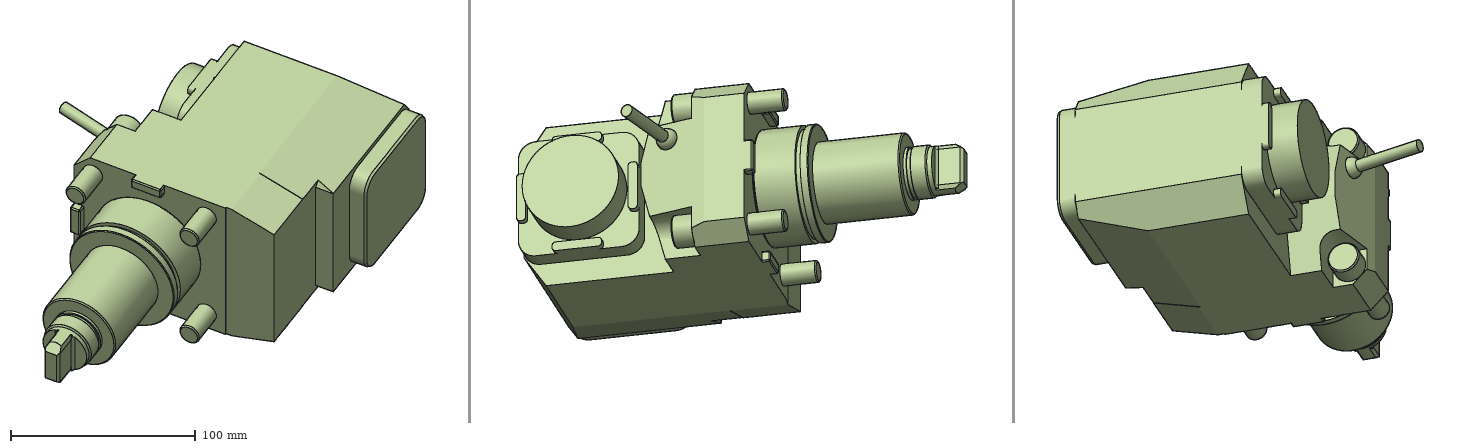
import cadquery as cq
import math


overall_length = 245.8

half_height = 47.0
left_x = -47.0
upper_left_x = -7.9
slope_start_x = 49.7
base_slope_start_x = 50.5
base_height_y = 32.5
lower_right_x = 76.5
right_x = 87.3
back_y = 133.2
side_slope = math.tan(math.radians(15.5))
back_bevel_y = 12.5
back_bevel_z = 18.2
overhang_y = 47.2
overhang_flat_z = 36.5
overhang_bevel_y = 1.2
overhang_bevel_z = 1.4

shoulder_y = 59.7
roof_flat_z = 7.4
taper_angle = 15.0
taper = math.tan(math.radians(taper_angle))
taper_start_y = 21.6
corner_bevel = 10.0

face_pad_x = 46.7
face_pad_depth = 0.7
key_width = 18.5
key_height = 6.1
key_length = 5.5
key_bevel = 0.7

screw_x = 35.1
screw_z = 36.0
pin_diameter = 12.0
pin_length = 21.0
screw_bevel = 0.7
head_diameter = 18.0
head_base_y = 29.5
head_length = 11.8
pocket_radius = 9.5

cover_size = 67.8
cover_radius = 9.8
tool_y = back_y - cover_size / 2
flange_x = -19.7
flange_key_x = -23.5
flange_key_width = 27.8
flange_key_height = 5.2
flange_key_radius = 2.0
nose_x = -37.5
nose_diameter = 54.0
oil_hole_x = -14.0
oil_hole_diameter = 2.1
oil_hole_depth = 2.5
cover_x = 97.8
cover_bevel_x = 1.5
cover_bevel_side = 0.7

collar_diameter = 64.6
groove_diameter = 60.2
shank_diameter = 45.0
drive_diameter = 29.0
neck_diameter = 27.0
relief_end = -1.5
groove_start = -25.3
groove_end = -28.3
collar_end = -32.7
shank_end = -81.4
neck_start = -83.0
neck_end = -85.3
drive_end = -93.6
disc_end = -97.0
tip_end = back_y - overall_length
edge_bevel = 0.7
collar_end_bevel = 0.5
tang_width = 9.3
tang_root_bevel = 1.5
tang_bevel_x = 1.2
tang_tip_bevel_y = 1.7
tang_side_z = 10.5
tip_face_z = 9.8
tip_bevel_y = 5.5

cable_diameter = 7.0
cable_z = 17.0
cable_length = 44.5
cable_root_y = 44.0
gland_diameter = 12.0


def box(x_range, y_range, z_range):
    (x0, x1), (y0, y1), (z0, z1) = x_range, y_range, z_range
    return cq.Workplane("XY").box(x1 - x0, y1 - y0, z1 - z0, centered=False).translate((x0, y0, z0))


def rod(diameter, x, z, y_start, y_end):
    """Cylinder along Y from y_start to a higher y_end."""
    return (
        cq.Workplane("XZ", origin=(x, y_start, z))
        .circle(diameter / 2)
        .extrude(y_start - y_end)
    )


def both_halves(solid):
    """Join a solid with its mirror image across Z = 0."""
    return solid.union(solid.mirror("XY"))


def make_flank(start_x, y_start, y_end):
    """Wedge above the sloping flank between two stations along Y."""
    end_z = half_height - side_slope * (right_x - start_x)
    return (
        cq.Workplane("XZ", origin=(0, y_end, 0))
        .polyline([(start_x, half_height), (right_x, half_height), (right_x, end_z)])
        .close()
        .extrude(y_end - y_start)
    )


def make_housing():
    plan = [
        (left_x, 0),
        (lower_right_x, 0),
        (lower_right_x, overhang_y),
        (right_x, overhang_y),
        (right_x, back_y),
        (upper_left_x, back_y),
        (upper_left_x, shoulder_y),
        (left_x + taper * (shoulder_y - taper_start_y), shoulder_y),
        (left_x, taper_start_y),
    ]
    body = (
        cq.Workplane("XY", origin=(0, 0, -half_height)).polyline(plan).close().extrude(2 * half_height)
    )

    base_flank = make_flank(base_slope_start_x, 0, base_height_y)
    upper_flank = make_flank(slope_start_x, base_height_y, back_y)
    back_bevel = (
        cq.Workplane("YZ", origin=(upper_left_x, 0, 0))
        .polyline([
            (back_y - back_bevel_y, half_height),
            (back_y, half_height),
            (back_y, half_height - back_bevel_z),
        ])
        .close()
        .extrude(right_x - upper_left_x)
    )
    overhang_reach = half_height - overhang_flat_z
    overhang_bevel = (
        cq.Workplane("YZ", origin=(lower_right_x, 0, 0))
        .polyline([
            (overhang_y, overhang_flat_z),
            (overhang_y + overhang_reach * overhang_bevel_y / overhang_bevel_z, half_height),
            (overhang_y, half_height),
        ])
        .close()
        .extrude(right_x - lower_right_x)
    )
    roof_drop = taper * (half_height - roof_flat_z)
    roof = (
        cq.Workplane("YZ", origin=(left_x, 0, 0))
        .polyline([
            (shoulder_y, roof_flat_z),
            (shoulder_y, half_height),
            (shoulder_y - roof_drop, half_height),
        ])
        .close()
        .extrude(upper_left_x - left_x)
    )
    corner = (
        cq.Workplane("XZ")
        .polyline([
            (left_x, half_height - corner_bevel),
            (left_x, half_height),
            (left_x + corner_bevel, half_height),
        ])
        .close()
        .extrude(-shoulder_y)
    )
    pocket = box(
        (left_x, -screw_x + pocket_radius),
        (head_base_y, shoulder_y),
        (screw_z - pocket_radius, half_height),
    )
    pocket = pocket.edges("|Y and >X and <Z").fillet(pocket_radius)
    for cut in (base_flank, upper_flank, back_bevel, overhang_bevel, roof, corner, pocket):
        body = body.cut(both_halves(cut))
    return body


def make_mounting_face():
    pad = (
        box((left_x, face_pad_x), (-face_pad_depth, 0), (-half_height, half_height))
        .edges("|Y and <X")
        .chamfer(corner_bevel)
    )
    top_key = box(
        (-key_width / 2, key_width / 2), (-key_length, 0), (half_height - key_height, half_height)
    )
    top_key = top_key.edges("not >Y").chamfer(key_bevel)
    side_key = top_key.rotate((0, 0, 0), (0, 1, 0), -90)
    return pad.union(both_halves(top_key)).union(side_key)


def make_pin(x):
    pin = rod(pin_diameter, x, screw_z, -pin_length, head_base_y)
    return pin.faces("<Y").chamfer(screw_bevel)


def make_screws():
    """Four pins, with the heads of the left pair standing in open pockets."""
    head = rod(head_diameter, -screw_x, screw_z, head_base_y, head_base_y + head_length)
    head = head.faces(">Y").chamfer(screw_bevel)
    upper_pair = make_pin(-screw_x).union(head).union(make_pin(screw_x))
    return both_halves(upper_pair)


def cover_block(x_start, x_end):
    return (
        cq.Workplane("YZ", origin=(x_start, tool_y, 0))
        .rect(cover_size, cover_size)
        .extrude(x_end - x_start)
        .edges("|X")
        .fillet(cover_radius)
    )


def make_output_flange():
    flange = cover_block(flange_x, upper_left_x)
    oil_hole = (
        cq.Workplane("XY", origin=(oil_hole_x, tool_y, cover_size / 2 - oil_hole_depth))
        .circle(oil_hole_diameter / 2)
        .extrude(oil_hole_depth)
    )
    flange = flange.cut(oil_hole)
    key = box(
        (flange_key_x, flange_x),
        (tool_y - flange_key_width / 2, tool_y + flange_key_width / 2),
        (cover_size / 2 - flange_key_height, cover_size / 2),
    )
    key = key.edges("|X").fillet(flange_key_radius)
    for turn in range(4):
        flange = flange.union(key.rotate((0, tool_y, 0), (1, tool_y, 0), 90 * turn))
    nose = (
        cq.Workplane("YZ", origin=(nose_x, tool_y, 0))
        .circle(nose_diameter / 2)
        .extrude(flange_x - nose_x)
    )
    return flange.union(nose)


def make_rear_cover():
    return cover_block(right_x, cover_x).faces(">X").chamfer(cover_bevel_x, cover_bevel_side)


def make_spindle():
    collar_r = collar_diameter / 2
    groove_r = groove_diameter / 2
    shank_r = shank_diameter / 2
    drive_r = drive_diameter / 2
    neck_r = neck_diameter / 2
    profile = [
        (0, 0),
        (groove_r, 0),
        (groove_r, relief_end),
        (collar_r - edge_bevel, relief_end),
        (collar_r, relief_end - edge_bevel),
        (collar_r, groove_start),
        (groove_r, groove_start),
        (groove_r, groove_end),
        (collar_r, groove_end),
        (collar_r, collar_end + collar_end_bevel),
        (collar_r - collar_end_bevel, collar_end),
        (shank_r, collar_end),
        (shank_r, shank_end + edge_bevel),
        (shank_r - edge_bevel, shank_end),
        (drive_r, shank_end),
        (drive_r, neck_start),
        (neck_r, neck_start),
        (neck_r, neck_end),
        (drive_r, neck_end),
        (drive_r, drive_end),
        (neck_r, drive_end - edge_bevel),
        (neck_r, tip_end),
        (0, tip_end),
    ]
    spindle = cq.Workplane("XY").polyline(profile).close().revolve(360, (0, 0, 0), (0, 1, 0))
    half_tang = tang_width / 2
    edge_x = half_tang - tang_bevel_x
    flat = (
        cq.Workplane("XY", origin=(0, 0, -drive_r))
        .polyline([
            (half_tang + tang_root_bevel, disc_end),
            (drive_r, disc_end),
            (drive_r, tip_end),
            (edge_x, tip_end),
            (half_tang, tip_end + tang_tip_bevel_y),
            (half_tang, disc_end - tang_root_bevel),
        ])
        .close()
        .extrude(2 * drive_r)
    )
    long_edge = (
        cq.Workplane("XZ", origin=(0, disc_end, 0))
        .polyline([(half_tang, tang_side_z), (half_tang, neck_r), (edge_x, neck_r)])
        .close()
        .extrude(disc_end - tip_end)
    )
    tip_bevel = (
        cq.Workplane("YZ", origin=(-half_tang, 0, 0))
        .polyline([(tip_end, tip_face_z), (tip_end, neck_r), (tip_end + tip_bevel_y, neck_r)])
        .close()
        .extrude(tang_width)
    )
    side_cuts = flat.union(both_halves(long_edge))
    return spindle.cut(side_cuts).cut(side_cuts.mirror("YZ")).cut(both_halves(tip_bevel))


def make_cable():
    root_x = left_x + taper * (cable_root_y - taper_start_y)
    turn = math.radians(taper_angle)
    outward = cq.Vector(-math.cos(turn), math.sin(turn), 0)
    plane = cq.Plane(origin=(root_x, cable_root_y, cable_z), xDir=(0, 0, 1), normal=outward.toTuple())
    gland = cq.Workplane(plane).sphere(gland_diameter / 2)
    cable = cq.Workplane(plane).circle(cable_diameter / 2).extrude(cable_length)
    return gland.union(cable)


result = make_housing()
for piece in (
    make_mounting_face(),
    make_screws(),
    make_output_flange(),
    make_rear_cover(),
    make_spindle(),
    make_cable(),
):
    result = result.union(piece)